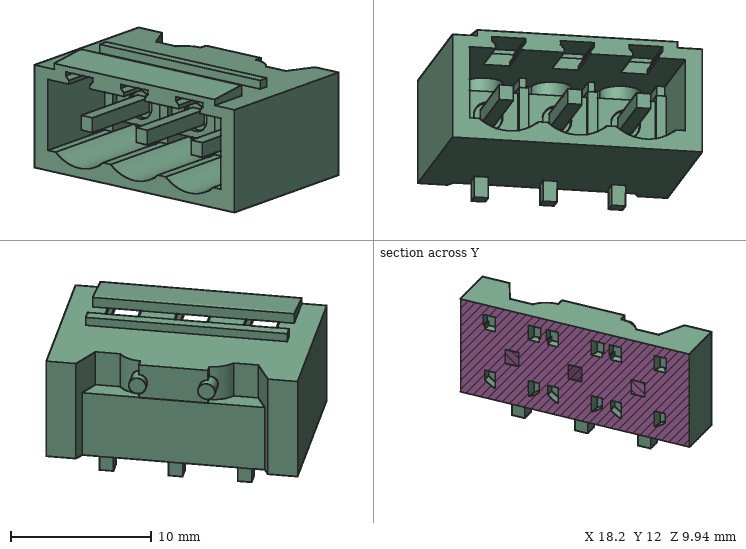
import cadquery as cq
import math


WIDTH = 18.2
DEPTH = 12.0
HEIGHT = 7.65

CONTACTS = 3
PITCH = 5.0
CONTACT_X = [(i - (CONTACTS - 1) / 2) * PITCH for i in range(CONTACTS)]

CAVITY_WIDTH = 15.72
FLOOR_Z = 1.51
CEILING_Z = 6.79
TROUGH_WIDTH = 4.3
TROUGH_SAG = 0.8

LEDGE_Z = 5.95
UPPER_CHAMBER_WIDTH = 4.51
DIVIDER_FRONT_Y = 6.55
UPPER_DIVIDER_FRONT_Y = 7.0
BACK_WALL_Y = 9.0

COLUMN_RADIUS = 1.47
SUPPORT_FRONT_Y = 7.0
SUPPORT_BOTTOM_Z = 2.25
SUPPORT_TOP_Z = 5.65
COUNTERBORE_RADIUS = 1.05
COUNTERBORE_DEPTH = 0.36

RAISED_WIDTH = 14.6
LIP_DEPTH = 3.13
LIP_FLAT = 0.33
LIP_HEIGHT = 0.76
LIP_FRONT_HEIGHT = 0.44
BAR_Y = 5.25
BAR_DEPTH = 0.78
BAR_HEIGHT = 0.64

SLOT_LENGTH = 4.19
SLOT_TOP_WIDTH = 2.45
SLOT_NECK_WIDTH = 1.91
SLOT_SHOULDER_Z = 7.35
SLOT_NECK_Z = 7.06

NOTCH_OUTER_WIDTH = 13.9
NOTCH_INNER_WIDTH = 11.8
NOTCH_FLOOR_Y = 9.95
REAR_FACE_Y = 11.35
NOTCH_SHELF_Z = 5.0

HUMP_WIDTH = 8.23
HUMP_SHOULDER_Y = 10.8
HUMP_REAR_Y = 11.41
PEG_X = PITCH / 2
PEG_RADIUS = 0.62
PEG_Z = 6.25

PIN_WIDTH = 1.02
PIN_THICKNESS = 1.1
PIN_FRONT_Y = 0.85
PIN_REAR_Y = 10.52
PIN_Z = 3.8
PIN_FOOT = 1.53


def box(x_mid, width, y0, y1, z0, z1):
    """A block centred on x_mid and spanning the given y and z ranges."""
    block = cq.Workplane("XY").box(width, y1 - y0, z1 - z0, centered=(True, False, False))
    return block.translate((x_mid, y0, z0))


def trough(x):
    """Round-bottomed channel sunk into the floor from the front to the back wall."""
    half = TROUGH_WIDTH / 2
    return (
        cq.Workplane("XZ")
        .moveTo(x - half, FLOOR_Z)
        .threePointArc((x, FLOOR_Z - TROUGH_SAG), (x + half, FLOOR_Z))
        .close()
        .extrude(-BACK_WALL_Y)
    )


def cut_cavity(body):
    """Hollow out the shared front cavity, then a chamber and a trough for each contact."""
    body = body.cut(box(0, CAVITY_WIDTH, 0, DIVIDER_FRONT_Y, FLOOR_Z, CEILING_Z))
    body = body.cut(box(0, CAVITY_WIDTH, 0, UPPER_DIVIDER_FRONT_Y, LEDGE_Z, CEILING_Z))
    for x in CONTACT_X:
        body = body.cut(box(x, TROUGH_WIDTH, 0, BACK_WALL_Y, FLOOR_Z, LEDGE_Z))
        body = body.cut(box(x, UPPER_CHAMBER_WIDTH, DIVIDER_FRONT_Y, BACK_WALL_Y, LEDGE_Z, CEILING_Z))
        body = body.cut(trough(x))
    return body


def add_pin_supports(body):
    """Stand a column against the back wall of each chamber, with a counterbored block across it."""
    column_base_z = FLOOR_Z - TROUGH_SAG
    for x in CONTACT_X:
        column = (
            cq.Workplane("XY", origin=(x, BACK_WALL_Y, column_base_z))
            .circle(COLUMN_RADIUS)
            .extrude(CEILING_Z - column_base_z)
            .intersect(box(x, TROUGH_WIDTH, 0, BACK_WALL_Y, column_base_z, CEILING_Z))
        )
        block = box(x, TROUGH_WIDTH, SUPPORT_FRONT_Y, BACK_WALL_Y, SUPPORT_BOTTOM_Z, SUPPORT_TOP_Z)
        counterbore = (
            cq.Workplane("XZ", origin=(x, SUPPORT_FRONT_Y, PIN_Z))
            .circle(COUNTERBORE_RADIUS)
            .extrude(-COUNTERBORE_DEPTH)
        )
        body = body.union(column).union(block).cut(counterbore)
    return body


def cut_keying_slots(body):
    """Cut a funnel-shaped slot through the top wall above each contact."""
    top = SLOT_TOP_WIDTH / 2
    neck = SLOT_NECK_WIDTH / 2
    right_side = [(neck, CEILING_Z), (neck, SLOT_NECK_Z), (top, SLOT_SHOULDER_Z), (top, HEIGHT)]
    left_side = [(-x, z) for x, z in reversed(right_side)]
    for x in CONTACT_X:
        slot = cq.Workplane("XZ", origin=(x, 0, 0)).polyline(right_side + left_side).close()
        body = body.cut(slot.extrude(-SLOT_LENGTH))
    return body


def add_lip_and_bar(body):
    """Add the sloped lip at the front edge of the top and the straight bar behind it."""
    lip = (
        cq.Workplane("YZ", origin=(-RAISED_WIDTH / 2, 0, HEIGHT))
        .polyline([
            (0, 0),
            (0, LIP_FRONT_HEIGHT),
            (LIP_DEPTH - LIP_FLAT, LIP_HEIGHT),
            (LIP_DEPTH, LIP_HEIGHT),
            (LIP_DEPTH, 0),
        ])
        .close()
        .extrude(RAISED_WIDTH)
    )
    bar = box(0, RAISED_WIDTH, BAR_Y, BAR_Y + BAR_DEPTH, HEIGHT, HEIGHT + BAR_HEIGHT)
    return body.union(lip).union(bar)


def cut_rear_notch(body):
    """Cut the flared notch in the rear: deep above the shelf, shallow below it."""
    notch = (
        cq.Workplane("XY")
        .polyline([
            (-NOTCH_INNER_WIDTH / 2, NOTCH_FLOOR_Y),
            (NOTCH_INNER_WIDTH / 2, NOTCH_FLOOR_Y),
            (NOTCH_OUTER_WIDTH / 2, DEPTH),
            (-NOTCH_OUTER_WIDTH / 2, DEPTH),
        ])
        .close()
        .extrude(HEIGHT)
    )
    shelf = box(0, WIDTH, NOTCH_FLOOR_Y, REAR_FACE_Y, 0, NOTCH_SHELF_Z)
    return body.cut(notch.cut(shelf))


def rear_hump():
    """Raised middle of the rear notch: rounded shoulders beside a flat-faced block."""
    half = HUMP_WIDTH / 2
    run = half - PEG_X
    rise = HUMP_SHOULDER_Y - NOTCH_FLOOR_Y
    radius = (run**2 + rise**2) / (2 * rise)
    half_angle = math.asin(run / radius) / 2
    mid_x = PEG_X + radius * math.sin(half_angle)
    mid_y = HUMP_SHOULDER_Y - radius * (1 - math.cos(half_angle))
    return (
        cq.Workplane("XY", origin=(0, 0, NOTCH_SHELF_Z))
        .moveTo(-half, NOTCH_FLOOR_Y)
        .threePointArc((-mid_x, mid_y), (-PEG_X, HUMP_SHOULDER_Y))
        .lineTo(-PEG_X, HUMP_REAR_Y)
        .lineTo(PEG_X, HUMP_REAR_Y)
        .lineTo(PEG_X, HUMP_SHOULDER_Y)
        .threePointArc((mid_x, mid_y), (half, NOTCH_FLOOR_Y))
        .close()
        .extrude(HEIGHT - NOTCH_SHELF_Z)
    )


def rear_pegs():
    """Two round pegs that run back from the notch floor to the rear of the housing."""
    return (
        cq.Workplane("XZ", origin=(0, NOTCH_FLOOR_Y, PEG_Z))
        .pushPoints([(-PEG_X, 0), (PEG_X, 0)])
        .circle(PEG_RADIUS)
        .extrude(NOTCH_FLOOR_Y - DEPTH)
    )


def make_pin(x):
    """Contact pin: a level blade pointing forward and a foot bent down through the underside."""
    top_z = PIN_Z + PIN_THICKNESS / 2
    blade = box(x, PIN_WIDTH, PIN_FRONT_Y, PIN_REAR_Y, top_z - PIN_THICKNESS, top_z)
    foot = box(x, PIN_WIDTH, PIN_REAR_Y - PIN_THICKNESS, PIN_REAR_Y, -PIN_FOOT, top_z)
    return blade.union(foot).solids()


def make_housing(pins):
    """Housing with all its features and a matching passage for each pin."""
    body = box(0, WIDTH, 0, DEPTH, 0, HEIGHT)
    body = cut_cavity(body)
    body = add_pin_supports(body)
    body = cut_keying_slots(body)
    body = add_lip_and_bar(body)
    body = cut_rear_notch(body)
    body = body.union(rear_hump()).union(rear_pegs())
    for pin in pins:
        body = body.cut(pin)
    return body.solids()


pins = [make_pin(x) for x in CONTACT_X]
housing = make_housing(pins)

result = cq.Compound.makeCompound([housing.val(), *[pin.val() for pin in pins]])